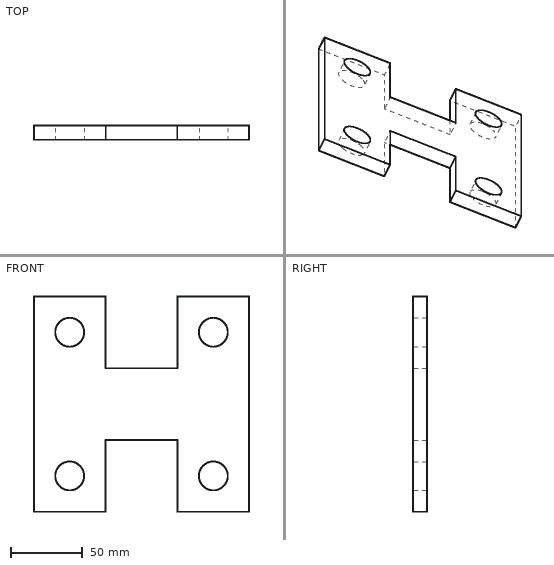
import cadquery as cq

side = 150.0
thickness = 10.0
leg_width = side / 3
notch_width = side - 2 * leg_width
notch_depth = side / 3
hole_diameter = 20.0
hole_spacing = side - leg_width


def centered_plate():
    """Square plate centred on the origin."""
    return cq.Workplane("XY").box(side, thickness, side)


def notch(end):
    """Rectangular cutter at the top (end = 1) or bottom (end = -1) edge."""
    height = end * (side - notch_depth) / 2
    return cq.Workplane("XY").box(notch_width, thickness, notch_depth).translate((0, 0, height))


def hole_cutters():
    """Four through-hole cylinders, one at each end of each leg."""
    return (
        cq.Workplane("XZ", origin=(0, thickness / 2, 0))
        .rarray(hole_spacing, hole_spacing, 2, 2)
        .circle(hole_diameter / 2)
        .extrude(thickness)
    )


result = centered_plate()
for end in (-1, 1):
    result = result.cut(notch(end))
result = result.cut(hole_cutters())